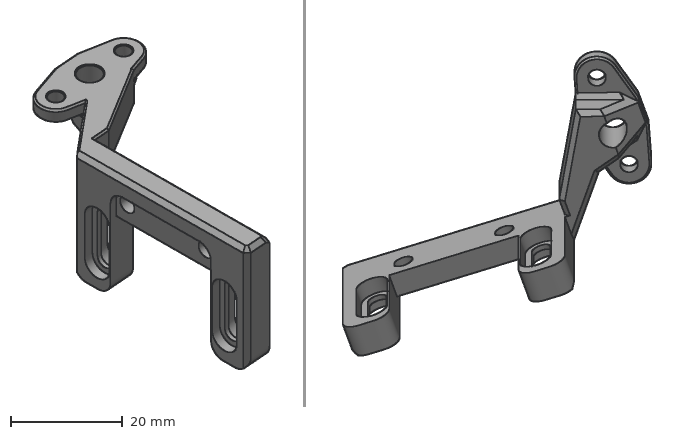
import cadquery as cq
import math


edge_bevel = 0.4
frame_bevel = 1.0
hole_bevel = 0.2

frame_left = 19.05
frame_right = 61.1
frame_thickness = 6.0
frame_height = 28.2
crossbar_height = 10.75
leg_width = 8.8
leg_corner_radius = 3.0
relief_depth = 1.5
relief_top = -4.05
relief_corner_radius = 3.0

screw_diameter = 3.5
screw_spacing = 19.05
screw_z = -6.7
slot_spacing = 30.95
slot_length = 13.5
slot_center_z = -17.8
slot_rim = 1.2
slot_front_depth = 2.0
slot_web = 1.0
openings_center_x = frame_left + (frame_right - frame_left) / 2

head_center_x = 5.75
head_center_y = 18.55
head_thickness = 3.0
head_flat_half = 3.0
head_hole_offset = 9.0
head_end_radius = 4.05
center_hole_diameter = 5.0
side_hole_diameter = 3.2

arm_height = 9.0
arm_root_x = 10.55
arm_root_half = 6.5
arm_front_end_x = 19.65
arm_back_end_y = 9.15
ramp_foot_x = 6.05

UP = cq.Vector(0, 0, 1)
FRONT = cq.Vector(0, -1, 0)
BACK = cq.Vector(0, 1, 0)
LEFT = cq.Vector(-1, 0, 0)
RIGHT = cq.Vector(1, 0, 0)


def trim(body, point, normal, reach):
    """Remove what lies beyond a plane, within `reach` of the point."""
    across = normal.cross(cq.Vector(0.3, 0.5, 0.8))
    plane = cq.Plane(origin=point, xDir=across, normal=normal)
    return body.cut(cq.Workplane(plane).circle(reach).extrude(reach))


def bevel(body, edge_point, normal_a, normal_b, size, reach):
    """Bevel the straight edge between two faces, set back by `size` on both."""
    normal_a = normal_a.normalized()
    normal_b = normal_b.normalized()
    depth = size * math.sin(normal_a.getAngle(normal_b) / 2)
    outward = (normal_a + normal_b).normalized()
    return trim(body, edge_point - outward * depth, outward, reach)


def beveled_prism(outline, height, bottom_bevel, top_bevel):
    """Extrude an outline down from z = 0, with 45 degree bevels around both ends."""
    middle = outline(-top_bevel).extrude(bottom_bevel + top_bevel - height)
    top = outline(-top_bevel).extrude(top_bevel, taper=45)
    bottom = outline(bottom_bevel - height).extrude(-bottom_bevel, taper=45)
    return middle.union(top).union(bottom)


def head_outline(z):
    """A rounded lozenge: two end arcs joined by tangent lines to a short flat on each side."""
    corner_distance = math.hypot(head_center_x, head_hole_offset - head_flat_half)
    corner_angle = math.atan2(head_hole_offset - head_flat_half, head_center_x)
    tangent_angle = math.acos(head_end_radius / corner_distance) - corner_angle
    tangent_x = head_end_radius * math.cos(tangent_angle)
    tangent_y = head_hole_offset + head_end_radius * math.sin(tangent_angle)
    end_y = head_hole_offset + head_end_radius
    return (
        cq.Workplane(origin=(head_center_x, head_center_y, z))
        .moveTo(-head_center_x, -head_flat_half)
        .lineTo(-tangent_x, -tangent_y)
        .threePointArc((0, -end_y), (tangent_x, -tangent_y))
        .lineTo(head_center_x, -head_flat_half)
        .lineTo(head_center_x, head_flat_half)
        .lineTo(tangent_x, tangent_y)
        .threePointArc((0, end_y), (-tangent_x, tangent_y))
        .lineTo(-head_center_x, head_flat_half)
        .close()
    )


rib_front_start = (0, head_center_y - head_flat_half)
rib_back_start = (0, head_center_y + head_flat_half)
rib_front_end = (arm_root_x, head_center_y - arm_root_half)
rib_back_end = (arm_root_x, head_center_y + arm_root_half)


def arm_outline(z):
    """The widening rib below the head and the arm, which runs on into the crossbar."""
    inside_x = frame_left + frame_thickness
    inside_y = frame_thickness - frame_bevel
    return cq.Workplane(origin=(0, 0, z)).polyline([
        rib_front_start,
        rib_front_end,
        (arm_front_end_x, 0),
        (inside_x, 0),
        (inside_x, inside_y),
        (frame_left, inside_y),
        (frame_left, arm_back_end_y),
        rib_back_end,
        rib_back_start,
    ]).close()


def make_arm():
    arm = beveled_prism(arm_outline, arm_height, frame_bevel, edge_bevel)

    flare = (
        cq.Workplane(origin=(0, 0, -head_thickness - frame_bevel))
        .polyline([rib_front_start, rib_front_end, rib_back_end, rib_back_start])
        .close()
        .extrude(frame_bevel, taper=-45)
    )
    arm = arm.union(flare.intersect(head_outline(0).extrude(-arm_height)))

    ramp_normal = cq.Vector(-1, 0, -1)
    arm = trim(arm, cq.Vector(ramp_foot_x, head_center_y, -arm_height), ramp_normal, 36.65)
    rib_spread = (arm_root_half - head_flat_half) / arm_root_x
    side_x = ramp_foot_x / 2
    side_half = head_flat_half + rib_spread * side_x
    side_z = ramp_foot_x - arm_height - side_x
    for side in (-1, 1):
        edge_point = cq.Vector(side_x, head_center_y + side * side_half, side_z)
        side_normal = cq.Vector(-rib_spread, side, 0)
        arm = bevel(arm, edge_point, ramp_normal, side_normal, frame_bevel, 7.3)

    tip = cq.Vector(0, head_center_y, ramp_foot_x - arm_height)
    return bevel(arm, tip, ramp_normal, LEFT, edge_bevel, 36.65)


def make_frame():
    width = frame_right - frame_left
    frame = cq.Workplane().box(width, frame_thickness, frame_height, centered=False)
    frame = frame.translate((frame_left, 0, -frame_height))
    opening = cq.Workplane().box(
        width - 2 * leg_width, frame_thickness, frame_height - crossbar_height, centered=False
    )
    frame = frame.cut(opening.translate((frame_left + leg_width, 0, -frame_height)))
    frame = frame.faces("<Z").edges("|Y").fillet(leg_corner_radius)

    relief = cq.Workplane().box(
        width - 2 * leg_width, relief_depth, frame_height, centered=False
    )
    relief = relief.edges("|Y and >Z").fillet(relief_corner_radius)
    frame = frame.cut(relief.translate((frame_left + leg_width, 0, relief_top - frame_height)))

    key = cq.Workplane().box(frame_bevel, 2 * frame_bevel, arm_height, centered=False)
    frame = frame.union(
        key.translate((frame_left - frame_bevel, frame_thickness - 2 * frame_bevel, -arm_height))
    )

    flank_point = cq.Vector(arm_front_end_x, 0, 0)
    flank_normal = cq.Vector(-rib_front_end[1], rib_front_end[0] - arm_front_end_x, 0)
    frame = trim(frame, flank_point, flank_normal, 61.1)
    frame = bevel(frame, flank_point, flank_normal, UP, edge_bevel, 122.15)

    right_front = cq.Vector(frame_right, 0, 0)
    right_back = cq.Vector(frame_right, frame_thickness, 0)
    inset = RIGHT * frame_bevel
    for point, normal_a, normal_b in [
        (right_back, BACK, UP),
        (right_front, RIGHT, UP),
        (right_front, RIGHT, FRONT),
        (right_front - inset, RIGHT + FRONT, UP),
        (right_back - inset, RIGHT + BACK, UP),
    ]:
        frame = bevel(frame, point, normal_a, normal_b, frame_bevel, 122.15)
    return frame


def cut_frame_openings(body):
    for side in (-1, 1):
        screw_x = openings_center_x + side * screw_spacing / 2
        screw = cq.Workplane("XZ", origin=(screw_x, 0, screw_z)).circle(screw_diameter / 2)
        body = body.cut(screw.extrude(-frame_thickness))

        slot_x = openings_center_x + side * slot_spacing / 2
        for rim, start, end in [
            (0, 0, frame_thickness),
            (slot_rim, 0, slot_front_depth),
            (slot_rim, slot_front_depth + slot_web, frame_thickness),
        ]:
            slot = cq.Workplane("XZ", origin=(slot_x, start, slot_center_z))
            slot = slot.slot2D(slot_length + 2 * rim, screw_diameter + 2 * rim, 90)
            body = body.cut(slot.extrude(start - end))
    return body


def cut_head_holes(body):
    for offset, diameter in [
        (-head_hole_offset, side_hole_diameter),
        (0, center_hole_diameter),
        (head_hole_offset, side_hole_diameter),
    ]:
        radius = diameter / 2
        plane = cq.Workplane(origin=(head_center_x, head_center_y + offset, 0))
        body = body.cut(plane.circle(radius).extrude(-arm_height))
        body = body.cut(plane.circle(radius + hole_bevel).extrude(-hole_bevel, taper=45))
    return body


head = beveled_prism(head_outline, head_thickness, edge_bevel, edge_bevel)
body = head.union(make_arm()).union(make_frame())
body = bevel(body, cq.Vector(frame_right, 0, 0), FRONT, UP, frame_bevel, 122.15)
body = cut_frame_openings(body)
result = cut_head_holes(body)